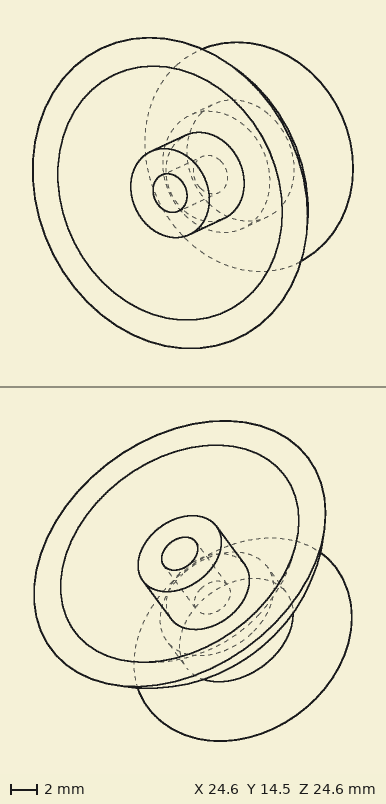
import cadquery as cq
import math

total_length = 14.5

rim_radius = 12.3
wall = 2.0

neck_radius = 4.8
neck_start = 6.86

knob_radius = 9.0
knob_thickness = 4.0
knob_front_fillet = 1.0
knob_back_fillet = knob_thickness - knob_front_fillet
knob_start = total_length - knob_thickness
knob_middle = knob_start + knob_front_fillet

post_radius = 3.52
hole_radius = 1.53
hole_depth = 6.0

sphere_center = (neck_radius**2 + neck_start**2 - rim_radius**2) / (2 * neck_start)
outer_sphere = math.hypot(rim_radius, sphere_center)
inner_sphere = outer_sphere - wall
inner_rim_radius = math.sqrt(inner_sphere**2 - sphere_center**2)


def sphere_point(sphere_radius, radius):
    """Profile point on a cup sphere at a given distance from the axis."""
    return radius, sphere_center + math.sqrt(sphere_radius**2 - radius**2)


def fillet_middle(fillet_radius, direction):
    """Middle of a knob rounding that curves towards +Y (1) or -Y (-1)."""
    reach = fillet_radius * math.sqrt(0.5)
    return knob_radius - fillet_radius + reach, knob_middle + direction * reach


half_section = (
    cq.Workplane("XY")
    .moveTo(0, hole_depth)
    .lineTo(hole_radius, hole_depth)
    .lineTo(hole_radius, 0)
    .lineTo(post_radius, 0)
    .lineTo(*sphere_point(inner_sphere, post_radius))
    .threePointArc(
        sphere_point(inner_sphere, (post_radius + inner_rim_radius) / 2),
        (inner_rim_radius, 0),
    )
    .lineTo(rim_radius, 0)
    .threePointArc(
        sphere_point(outer_sphere, (rim_radius + neck_radius) / 2),
        (neck_radius, neck_start),
    )
    .lineTo(neck_radius, knob_start)
    .lineTo(knob_radius - knob_front_fillet, knob_start)
    .threePointArc(fillet_middle(knob_front_fillet, -1), (knob_radius, knob_middle))
    .threePointArc(
        fillet_middle(knob_back_fillet, 1),
        (knob_radius - knob_back_fillet, total_length),
    )
    .lineTo(0, total_length)
    .close()
)

result = half_section.revolve(360, (0, 0, 0), (0, 1, 0))